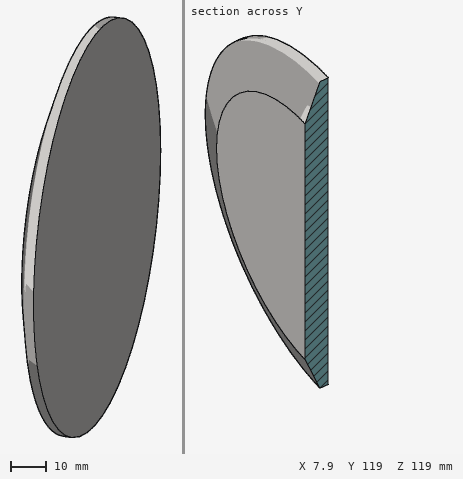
import cadquery as cq

outer_diameter = 119.0
thickness = 7.9
rim_width = 2.9
face_diameter = 91.4
edge_round = 1.0

outer_radius = outer_diameter / 2
face_radius = face_diameter / 2
cone_depth = thickness - rim_width

half_section = (
    cq.Workplane("XY")
    .moveTo(0, 0)
    .lineTo(0, face_radius)
    .lineTo(cone_depth, outer_radius)
    .lineTo(thickness, outer_radius)
    .lineTo(thickness, 0)
    .close()
)

disc = half_section.revolve(360, (0, 0, 0), (1, 0, 0))

cone_rim_edge = cq.selectors.BoxSelector(
    (cone_depth - edge_round, -outer_diameter, -outer_diameter),
    (cone_depth + edge_round, outer_diameter, outer_diameter),
)
result = disc.edges(cone_rim_edge).fillet(edge_round)